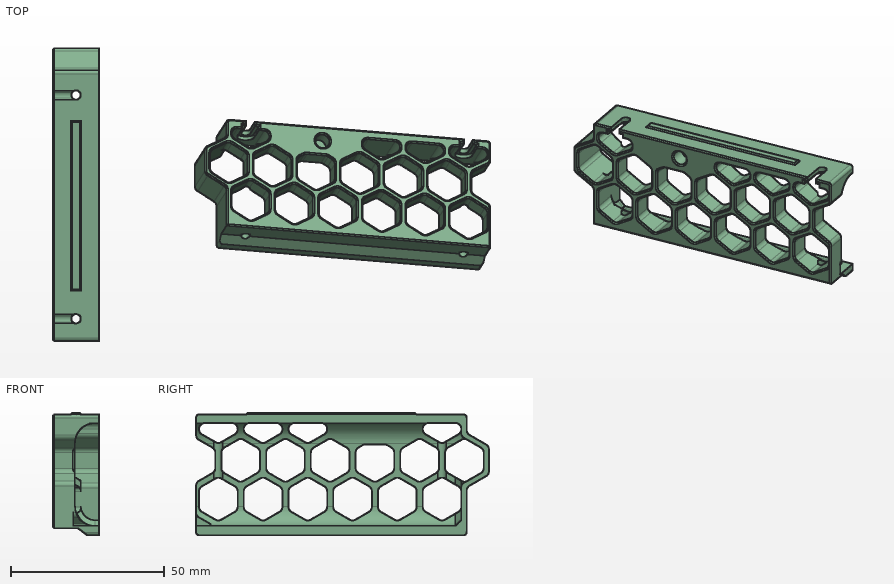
import cadquery as cq
import math

length = 95.5
depth = 15.0
height = 39.9
ridge_height = 0.5
top_z = height - ridge_height
end_y = -length / 2
far_y = length / 2

cell_flats = 12.5
nose_apothem = 8.0
cells_per_row = 6
flank_angle = math.radians(30)
pitch = (length - nose_apothem) / cells_per_row
row_step = pitch * math.cos(flank_angle)
middle_row_z = 24.4
lower_row_z = middle_row_z - row_step
upper_row_z = middle_row_z + row_step
floor_row_z = lower_row_z - row_step
upper_columns = (0, 1, 2, 5)
short_cell_column = 3
short_cell_top_z = 29.6
cell_round = 1.8

front_wall = 7.2
body_side_y = 40.5
top_flange = 2.9
flange_underside_z = top_z - top_flange
floor_z = 3.1
wall_bottom_z = 2.3
tab_slope_start_x = 8.1
tab_slope_end_x = 11.2
cavity_round = 6.5
cavity_end_chamfer = 1.9
end_round = 1.05
front_chamfer = 0.5

screw_x = depth / 2
screw_diameter = 3.0
head_diameter = 5.5
head_slot_depth = 1.2

floor_notch_x = 6.6
notch_toe_round = 0.4

blind_diameter = 4.7
blind_depth = 5.7
blind_y = 8.4
blind_z = 34.6

ridge_length = 55.4
ridge_width = 3.3
ridge_taper = 45

apothem = cell_flats / 2
middle_ys = [end_y + pitch * i for i in range(1, cells_per_row + 1)]
lower_ys = [end_y + pitch * (i + 0.5) for i in range(cells_per_row)]
nose_y = middle_ys[-1]
inner_end_y = lower_ys[-1] + apothem
screw_ys = (lower_ys[0], lower_ys[-1])


def flank_z(offset, flat_distance):
    """Height above a cell centre of its upper flank, at a sideways offset."""
    corner = flat_distance / math.cos(flank_angle)
    return corner - offset * math.tan(flank_angle)


def prism(points, start_x, end_x):
    """Extrude a (Y, Z) polygon along X."""
    return cq.Workplane("YZ", origin=(start_x, 0, 0)).polyline(points).close().extrude(end_x - start_x)


def cell(y, z, ceiling_z=None):
    """Through cell with rounded corners, optionally cut flat at a ceiling."""
    side_z = flank_z(apothem, apothem)
    tip_z = flank_z(0, apothem)
    points = [(y - apothem, z - side_z), (y, z - tip_z), (y + apothem, z - side_z)]
    if ceiling_z is None:
        points += [(y + apothem, z + side_z), (y, z + tip_z), (y - apothem, z + side_z)]
    elif ceiling_z < z + side_z:
        points += [(y + apothem, ceiling_z), (y - apothem, ceiling_z)]
    else:
        half_top = (z + tip_z - ceiling_z) / math.tan(flank_angle)
        points += [
            (y + apothem, z + side_z),
            (y + half_top, ceiling_z),
            (y - half_top, ceiling_z),
            (y - apothem, z + side_z),
        ]
    return prism(points, 0, depth).edges("|X").fillet(cell_round)


def nose_points(side_y, flat_distance):
    """Points where the end bulges around the last middle cell, from bottom to top."""
    root = flank_z(side_y - nose_y, flat_distance)
    shoulder = flank_z(flat_distance, flat_distance)
    return [
        (side_y, middle_row_z - root),
        (nose_y + flat_distance, middle_row_z - shoulder),
        (nose_y + flat_distance, middle_row_z + shoulder),
        (side_y, middle_row_z + root),
    ]


def body():
    """Outer block with a nose at one end, a half cell at the other and a thin tab below."""
    tip_z = flank_z(0, apothem)
    side_z = flank_z(apothem, apothem)
    half_cell = [
        (end_y, middle_row_z + tip_z),
        (end_y + apothem, middle_row_z + side_z),
        (end_y + apothem, middle_row_z - side_z),
        (end_y, middle_row_z - tip_z),
    ]
    outline = [(end_y, 0), (body_side_y, 0)]
    outline += nose_points(body_side_y, nose_apothem)
    outline += [(body_side_y, top_z), (end_y, top_z)]
    outline += half_cell
    block = prism(outline, 0, depth)
    block = block.edges("|X").edges(">Z or <Z").fillet(end_round)
    inner_corners = cq.selectors.BoxSelector(
        (0, 2 * end_y, 2 * end_round), (depth, 2 * far_y, top_z - 2 * end_round)
    )
    block = block.edges("|X").edges(inner_corners).fillet(cell_round)
    below_wall = (
        cq.Workplane("XZ", origin=(0, far_y, 0))
        .polyline([
            (0, 0),
            (tab_slope_end_x, 0),
            (tab_slope_start_x, wall_bottom_z),
            (0, wall_bottom_z),
        ])
        .close()
        .extrude(length)
    )
    return block.cut(below_wall)


def arched_block(end_wall_y):
    """Block from the open end to an end wall, rounded where the front wall meets the flanges."""
    return (
        cq.Workplane("XY", origin=(front_wall, end_y, floor_z))
        .box(depth - front_wall, end_wall_y - end_y, flange_underside_z - floor_z, centered=False)
        .edges("|Y and <X")
        .fillet(cavity_round)
    )


def cavity():
    """Arched space behind the front wall, open at the back and at one end."""
    outline = [(end_y, floor_z), (inner_end_y, floor_z)]
    outline += nose_points(inner_end_y, apothem)
    outline += [(inner_end_y, flange_underside_z), (end_y, flange_underside_z)]
    plan = prism(outline, front_wall, depth)
    above_floor_corner = cq.selectors.BoxSelector((0, nose_y - apothem, lower_row_z), (depth, far_y, top_z))
    plan = plan.edges("|X").edges(above_floor_corner).fillet(cell_round)
    space = plan.intersect(arched_block(far_y))

    full_corner = arched_block(inner_end_y)
    cut_corner = full_corner.faces(">Y").edges("not >X").chamfer(cavity_end_chamfer)
    below_middle = (
        cq.Workplane("XY", origin=(0, 0, floor_z))
        .box(depth, length, middle_row_z - floor_z, centered=(False, True, False))
    )
    end_chamfer = full_corner.cut(cut_corner).intersect(below_middle)
    return space.cut(end_chamfer)


def floor_notch():
    """Half cell that trims the rounded floor corner at the open end."""
    tip_z = floor_row_z + flank_z(0, apothem)
    tip = (end_y, tip_z)
    toe = (end_y + (tip_z - floor_z) / math.tan(flank_angle), floor_z)
    outside_y = end_y - 2 * cell_round
    lip_z = tip_z + 2 * cell_round
    points = [(outside_y, floor_z), (outside_y, lip_z), (end_y, lip_z), tip, toe]
    notch = prism(points, floor_notch_x, depth)
    at_tip = cq.selectors.NearestToPointSelector((screw_x, *tip))
    notch = notch.edges("|X").edges(at_tip).fillet(cell_round)
    return notch.edges("|X").edges(">Y").fillet(notch_toe_round)


def cylinder(y, diameter, start_z, end_z):
    """Upright cylinder on a screw axis."""
    return (
        cq.Workplane("XY", origin=(screw_x, y, start_z))
        .circle(diameter / 2)
        .extrude(end_z - start_z)
    )


def open_slot(y, width, start_z, end_z):
    """Slot from the front face to a round end on the screw axis."""
    straight = (
        cq.Workplane("XY", origin=(0, y, start_z))
        .box(screw_x, width, end_z - start_z, centered=(False, True, False))
    )
    return straight.union(cylinder(y, width, start_z, end_z))


def screw_cuts(y):
    """Stepped slot in the top flange above a hole that runs down through the floor."""
    slot = open_slot(y, screw_diameter, flange_underside_z, top_z)
    head_slot = open_slot(y, head_diameter, flange_underside_z, flange_underside_z + head_slot_depth)
    hole = cylinder(y, screw_diameter, 0, top_z)
    return slot.union(head_slot).union(hole)


def ridge():
    """Low bar with sloped sides along the middle of the top face."""
    ridge_y = (end_y + body_side_y) / 2
    return (
        cq.Workplane("XY", origin=(screw_x, ridge_y, top_z))
        .rect(ridge_width, ridge_length)
        .extrude(ridge_height, taper=ridge_taper)
    )


def blind_hole():
    """Round pocket in the front face."""
    return (
        cq.Workplane("YZ", origin=(0, blind_y, blind_z))
        .circle(blind_diameter / 2)
        .extrude(blind_depth)
    )


result = body().cut(cavity())
for i, y in enumerate(middle_ys):
    ceiling = short_cell_top_z if i == short_cell_column else None
    result = result.cut(cell(y, middle_row_z, ceiling))
for y in lower_ys:
    result = result.cut(cell(y, lower_row_z))
for column in upper_columns:
    result = result.cut(cell(lower_ys[column], upper_row_z, flange_underside_z))
for y in screw_ys:
    result = result.cut(screw_cuts(y))
result = result.cut(floor_notch())
result = result.cut(blind_hole())
result = result.faces("<X").edges().chamfer(front_chamfer)
result = result.union(ridge())